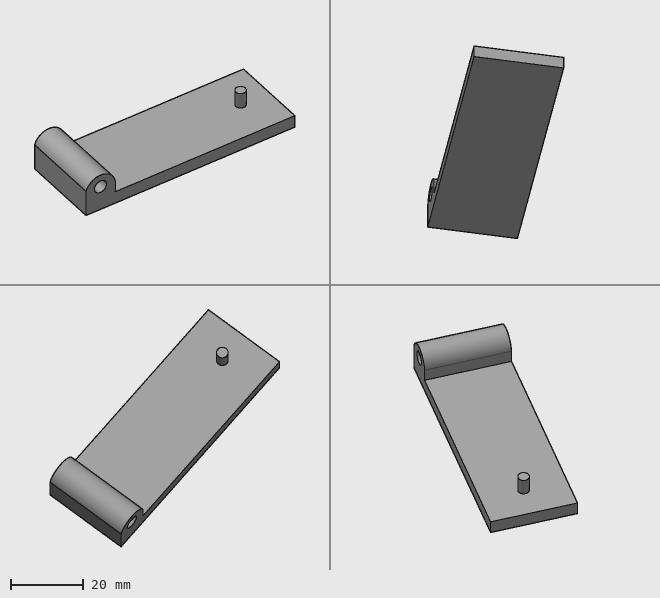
import cadquery as cq
import math

width = 25.0
length = 69.3
plate_thickness = 4.0

knuckle_height = 12.0
knuckle_radius = 5.0
knuckle_setback = 4.8
knuckle_depth = 9.7
hole_diameter = 4.0
hole_height = 8.0

pin_diameter = 3.2
pin_top = 9.0
pin_edge_distance = 9.5

front_y = -length / 2
back_y = length / 2
knuckle_center_y = front_y + knuckle_setback
knuckle_rear_y = front_y + knuckle_depth
knuckle_center_height = knuckle_height - knuckle_radius


def knuckle_wall_height(wall_y):
    """Height at which the round top meets the upright wall at wall_y."""
    offset = wall_y - knuckle_center_y
    return knuckle_center_height + math.sqrt(knuckle_radius**2 - offset**2)


def make_body():
    """Side profile of plate and knuckle, extruded across the width."""
    return (
        cq.Workplane("YZ")
        .moveTo(front_y, 0)
        .lineTo(back_y, 0)
        .lineTo(back_y, plate_thickness)
        .lineTo(knuckle_rear_y, plate_thickness)
        .lineTo(knuckle_rear_y, knuckle_wall_height(knuckle_rear_y))
        .threePointArc(
            (knuckle_center_y, knuckle_height),
            (front_y, knuckle_wall_height(front_y)),
        )
        .close()
        .extrude(width / 2, both=True)
    )


def make_hinge_hole():
    """Hinge bore through the full width of the knuckle."""
    return (
        cq.Workplane("YZ")
        .center(knuckle_center_y, hole_height)
        .circle(hole_diameter / 2)
        .extrude(width / 2, both=True)
    )


def make_pin():
    """Pin rising from the underside level so that it fuses with the plate."""
    return (
        cq.Workplane("XY")
        .center(0, back_y - pin_edge_distance)
        .circle(pin_diameter / 2)
        .extrude(pin_top)
    )


result = make_body().cut(make_hinge_hole()).union(make_pin())